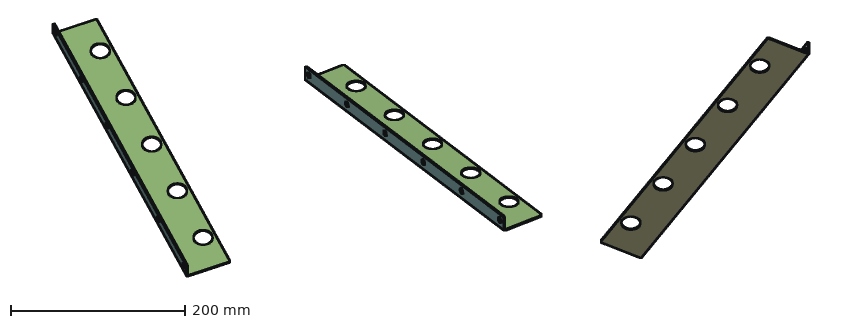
import cadquery as cq

length = 390.0
depth = 55.0
height = 20.0

thickness = 2.0
inner_bend_radius = 1.0
outer_bend_radius = inner_bend_radius + thickness
corner_radius = 2.0

small_hole_diameter = 6.5
small_hole_count = 6
small_hole_end_inset = 7.5
small_hole_z = 11.7
pitch = (length - 2 * small_hole_end_inset) / (small_hole_count - 1)

large_hole_diameter = 22.0
large_hole_count = small_hole_count - 1
large_hole_back_inset = 15.0


def centred_row(count, cross_position):
    """Points at the common pitch, centred along the length."""
    first_x = length / 2 - pitch * (count - 1) / 2
    return [(first_x + i * pitch, cross_position) for i in range(count)]


def bent_sheet():
    """L section with its outer bend at the lower front edge."""
    section = (
        cq.Workplane("YZ")
        .rect(depth, height, centered=False)
        .extrude(length)
        .edges("|X and <Y and <Z")
        .fillet(outer_bend_radius)
    )
    inside = (
        cq.Workplane("YZ")
        .moveTo(thickness, thickness)
        .rect(depth, height, centered=False)
        .extrude(length)
        .edges("|X and <Y and <Z")
        .fillet(inner_bend_radius)
    )
    return section.cut(inside)


def round_flange_corners(body):
    """Round the free corners of the base and of the upright flange."""
    body = body.faces(">Y").edges("|Z").fillet(corner_radius)
    return body.faces(">Z").edges("|Y").fillet(corner_radius)


def upright_holes():
    return (
        cq.Workplane("XZ")
        .pushPoints(centred_row(small_hole_count, small_hole_z))
        .circle(small_hole_diameter / 2)
        .extrude(-thickness)
    )


def base_holes():
    return (
        cq.Workplane("XY")
        .pushPoints(centred_row(large_hole_count, depth - large_hole_back_inset))
        .circle(large_hole_diameter / 2)
        .extrude(thickness)
    )


result = round_flange_corners(bent_sheet()).cut(upright_holes()).cut(base_holes())